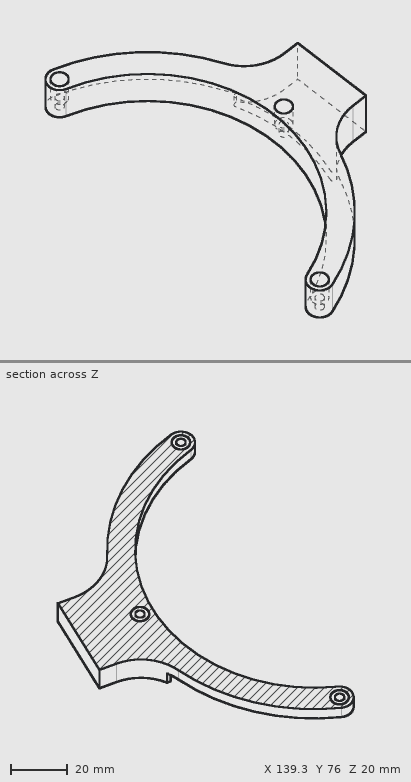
import cadquery as cq
import math

overall_width = 139.3
overall_depth = 76.0
arm_thickness = 15.0
block_height = 20.0
end_radius = 5.0
ring_radius = 68.0

block_width = 34.0
flare_radius = 20.0

pad_front_radius = 71.6
pad_half_width = 25.0
pad_corner_radius = 1.0

hole_diameter = 3.3
bore_diameter = 6.4
bore_depth = 10.0

inner_radius = ring_radius - end_radius
outer_radius = ring_radius + end_radius
tip_x = overall_width / 2 - end_radius
tip_y = math.sqrt(ring_radius**2 - tip_x**2)
tip_angle = math.atan2(tip_y, tip_x)
back_y = tip_y - end_radius + overall_depth
block_x = block_width / 2

flare_x = block_x + flare_radius
flare_y = math.sqrt((outer_radius + flare_radius) ** 2 - flare_x**2)
flare_angle = math.atan2(flare_y, flare_x)


def polar(radius, angle):
    """Point at a radius and angle around the ring axis."""
    return (radius * math.cos(angle), radius * math.sin(angle))


def mirrored(point):
    """Same point on the other side of the YZ plane."""
    return (-point[0], point[1])


def flare_point(angle):
    """Point on the right-hand flare arc."""
    return (flare_x + flare_radius * math.cos(angle), flare_y + flare_radius * math.sin(angle))


def make_yoke():
    """Curved arms and the upper part of the block as one plate."""
    inner_end = polar(inner_radius, tip_angle)
    outer_end = polar(outer_radius, tip_angle)
    tip_middle = (
        tip_x + end_radius * math.sin(tip_angle),
        tip_y - end_radius * math.cos(tip_angle),
    )
    arm_middle = polar(outer_radius, (tip_angle + flare_angle) / 2)
    flare_end = polar(outer_radius, flare_angle)
    flare_middle = flare_point(math.pi + flare_angle / 2)
    flare_start = (block_x, flare_y)
    return (
        cq.Workplane("XY")
        .moveTo(*mirrored(inner_end))
        .threePointArc((0, inner_radius), inner_end)
        .threePointArc(tip_middle, outer_end)
        .threePointArc(arm_middle, flare_end)
        .threePointArc(flare_middle, flare_start)
        .lineTo(block_x, back_y)
        .lineTo(-block_x, back_y)
        .lineTo(*mirrored(flare_start))
        .threePointArc(mirrored(flare_middle), mirrored(flare_end))
        .threePointArc(mirrored(arm_middle), mirrored(outer_end))
        .threePointArc(mirrored(tip_middle), mirrored(inner_end))
        .close()
        .extrude(arm_thickness)
    )


def make_pad():
    """Lower part of the block, following the flares and hollowed in front."""
    flare_drop = math.sqrt(flare_radius**2 - (flare_x - pad_half_width) ** 2)
    pad_corner = (pad_half_width, flare_y - flare_drop)
    pad_angle = math.atan2(-flare_drop, pad_half_width - flare_x)
    flare_middle = flare_point((pad_angle - math.pi) / 2)
    round_x = pad_half_width - pad_corner_radius
    round_distance = pad_front_radius + pad_corner_radius
    round_angle = math.acos(round_x / round_distance)
    round_y = round_distance * math.sin(round_angle)
    front_corner = polar(pad_front_radius, round_angle)
    side_end = (pad_half_width, round_y)
    middle_angle = (round_angle - math.pi) / 2
    round_middle = (
        round_x + pad_corner_radius * math.cos(middle_angle),
        round_y + pad_corner_radius * math.sin(middle_angle),
    )
    return (
        cq.Workplane("XY")
        .moveTo(*mirrored(front_corner))
        .threePointArc((0, pad_front_radius), front_corner)
        .threePointArc(round_middle, side_end)
        .lineTo(*pad_corner)
        .threePointArc(flare_middle, (block_x, flare_y))
        .lineTo(block_x, back_y)
        .lineTo(-block_x, back_y)
        .lineTo(-block_x, flare_y)
        .threePointArc(mirrored(flare_middle), mirrored(pad_corner))
        .lineTo(*mirrored(side_end))
        .threePointArc(mirrored(round_middle), mirrored(front_corner))
        .close()
        .extrude(arm_thickness - block_height)
    )


hole_centres = [(-tip_x, tip_y), (0, ring_radius), (tip_x, tip_y)]

result = (
    make_yoke()
    .union(make_pad())
    .faces(">Z")
    .workplane(origin=(0, 0, arm_thickness))
    .pushPoints(hole_centres)
    .cboreHole(hole_diameter, bore_diameter, bore_depth)
)